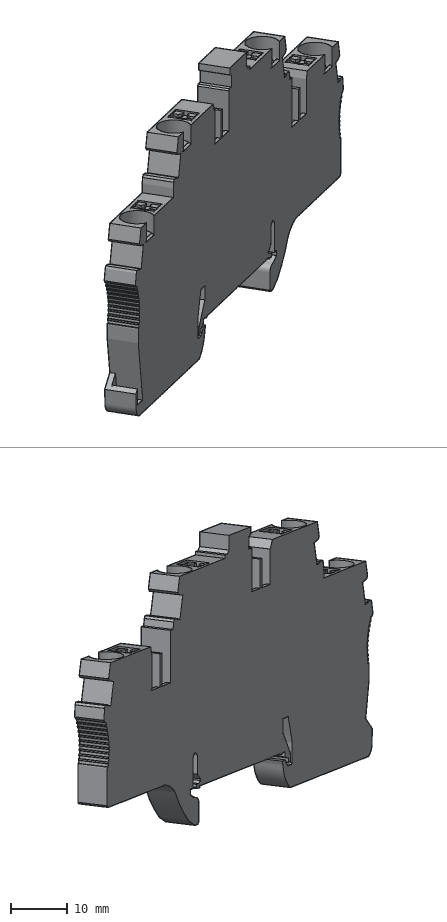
import math

import cadquery as cq

width = 6.0
length = 99.25
height = 50.5
end_y = length / 2
side_x = width / 2

upper_deck_z = 46.6
lower_deck_z = 35.85
base_z = 6.88
tail_z = 9.57
rail_slot_top_z = 13.1

lower_corner_front = -46.95
lower_corner_back = 47.2
upper_corner_front = -29.1
upper_corner_back = 21.7

groove_count = 10
groove_depth = 0.25
groove_share = 0.65
grip_top_z = 25.3
grip_bottom_z = 16.7
grip_sag = 0.85
tip_z = 25.8
tip_land = 0.45
front_wall_y = -48.2
back_wall_y = 48.4

fin_width = 0.72
jumper_pocket_width = 4.3
jumper_pocket_depth = 5.0
upper_slot_front, upper_slot_back, upper_slot_floor = -11.71, -5.06, 38.57
upper_fin_y, upper_fin_top = -8.38, 44.0
upper_fin_chamfer = 0.1
lower_slot_front, lower_slot_back, lower_slot_floor = 25.07, 31.98, 27.81
lower_fin_y, lower_fin_top = 28.65, 33.9

wire_entries = [
    (42.5, lower_deck_z, 1),
    (17.3, upper_deck_z, 1),
    (-24.9, upper_deck_z, -1),
    (-42.5, lower_deck_z, -1),
]
entry_x = 0.45
entry_radius = 3.1
entry_depth = 3.7
funnel_depth = 3.0
funnel_end_x = 0.2
funnel_end_shift = 0.3
funnel_end_radius = 2.35
funnel_side_top_x = 2.25
funnel_side_end_x = 1.27
funnel_flat_end = 1.8

pushers = [
    (36.75, lower_deck_z),
    (11.35, upper_deck_z),
    (-19.2, upper_deck_z),
    (-36.95, lower_deck_z),
]
pusher_pocket_x = 4.5
pusher_pocket_y = 3.75
pusher_gap = 0.37
pusher_sink = 0.3
cross_width = 1.0
cross_depth = 0.6
cross_diamond = 2.2
cross_sink_depth = 0.4
cross_sink_taper = 45

foot_web = 1.1
foot_wall_y = -46.95
foot_wall_top_z = 7.1
foot_shoulder_y = -49.4
foot_shoulder_z = 4.8
foot_lip = 0.75
foot_hollow_floor_z = 2.4
front_wall_bottom_z = 14.1


def deck_end(corner_y, corner_z, end):
    """Lip, latch groove and ledge below a deck corner; end is +1 or -1 along Y."""
    offsets = [
        (0, 0), (0.7, -2.8), (0.3, -3.3), (-1.15, -3.65), (-0.1, -7.85),
        (0.8, -7.75), (0.9, -7.5), (1.95, -7.45), (2.2, -7.9),
    ]
    return [(corner_y + end * out, corner_z + up) for out, up in offsets]


def grip_end(wall_y, end):
    """Outermost tip and serrated concave grip, listed from top to bottom."""
    top_y = end * (end_y - tip_land)
    points = [(end * end_y, tip_z)]

    def on_grip(along, depth):
        dip = grip_sag * math.sin(math.pi * along) + depth
        y = top_y + (wall_y - top_y) * along - end * dip
        return (y, grip_top_z + (grip_bottom_z - grip_top_z) * along)

    for groove in range(groove_count):
        start = groove / groove_count
        finish = (groove + groove_share) / groove_count
        points += [on_grip(start, 0), on_grip(start, groove_depth)]
        points += [on_grip(finish, groove_depth), on_grip(finish, 0)]
    points.append(on_grip(1, 0))
    return points


def slot_with_fin(front, back, floor, fin_y, fin_top, chamfer):
    """Jumper slot floor with its central fin, listed from the +Y wall to the -Y wall."""
    half = fin_width / 2
    fin = [(fin_y + half, floor), (fin_y + half, fin_top - chamfer)]
    if chamfer:
        fin.append((fin_y, fin_top))
    fin += [(fin_y - half, fin_top - chamfer), (fin_y - half, floor)]
    return [(back, floor)] + fin + [(front, floor)]


def top_outline():
    """Stepped upper edge from the -Y tip of the grip round to the +Y grip."""
    front_grip = grip_end(front_wall_y, -1)[::-1]
    front_low = deck_end(lower_corner_front, lower_deck_z, -1)[::-1]
    front_high = deck_end(upper_corner_front, upper_deck_z, -1)[::-1]
    front_step = [(-31.5, lower_deck_z), (-31.5, 37.6)]
    upper_slot = slot_with_fin(upper_slot_front, upper_slot_back, upper_slot_floor,
                               upper_fin_y, upper_fin_top, upper_fin_chamfer)[::-1]
    upper_slot_mouth = [(-12.54, upper_deck_z), (upper_slot_front, 45.0)]
    crown = [
        (upper_slot_back, 46.3), (-4.8, upper_deck_z), (-3.87, upper_deck_z),
        (-3.87, 48.85), (-4.58, 49.2), (-4.58, height),
        (3.45, height), (3.45, 47.8), (4.15, 47.2), (5.05, 47.2), (5.05, upper_deck_z),
    ]
    back_high = deck_end(upper_corner_back, upper_deck_z, 1)
    back_step = [(24.15, 37.4), (lower_slot_front, 37.4)]
    lower_slot = slot_with_fin(lower_slot_front, lower_slot_back, lower_slot_floor,
                               lower_fin_y, lower_fin_top, 0)[::-1]
    lower_slot_mouth = [(lower_slot_back, 34.4), (32.4, lower_deck_z)]
    back_low = deck_end(lower_corner_back, lower_deck_z, 1)
    back_grip = grip_end(back_wall_y, 1)
    return (front_grip + front_low + front_step + front_high + upper_slot_mouth + upper_slot
            + crown + back_high + back_step + lower_slot + lower_slot_mouth + back_low + back_grip)


def make_body():
    """Full-width extrusion of the side outline."""
    front_hook = [
        (-16.1, 5.42), (-17.28, 5.42), (-17.73, 4.68), (-18.26, 4.15), (-19.5, 4.15),
        (-19.78, 4.45), (-19.78, 8.04), (-19.45, 9.4), (-18.33, rail_slot_top_z),
        (-16.5, rail_slot_top_z), (-16.5, 10.4), (-19.15, 6.25), (-19.15, 4.75), (-18.35, 4.75),
        (-18.35, 5.55), (-17.06, 6.0), (-17.06, base_z), (-16.3, base_z),
        (-15.7, 6.6), (-15.3, base_z),
    ]
    back_nose = [
        (14.15, base_z), (14.3, 6.55), (15.2, 6.55), (15.6, 6.9), (15.5, 7.4),
        (14.7, 7.4), (14.0, 7.8), (14.0, 8.1), (15.18, 9.2), (15.18, 12.45),
    ]
    back_foot = [
        (16.7, base_z), (17.67, base_z), (17.67, 5.9), (16.25, 5.15), (15.45, 5.0),
    ]
    side = cq.Workplane("YZ", origin=(-side_x, 0, 0)).moveTo(foot_wall_y, foot_wall_top_z)
    side = side.lineTo(foot_shoulder_y, foot_shoulder_z).lineTo(-49.25, 2.0)
    side = side.threePointArc((-48.85, 0.8), (-47.85, 0)).lineTo(-19.1, 0)
    side = side.threePointArc((-17.3, 1.95), (-16.4, 4.6))
    side = side.polyline(front_hook + back_nose, includeCurrent=True)
    side = side.threePointArc((15.94, 13.2), (16.7, 12.45))
    side = side.polyline(back_foot, includeCurrent=True)
    side = side.threePointArc((14.8, 4.5), (14.57, 3.7))
    side = side.lineTo(14.57, 0.4).lineTo(14.97, 0).lineTo(16.0, 0).lineTo(18.26, 1.25)
    side = side.threePointArc((20.9, 3.9), (23.3, 7.4))
    side = side.threePointArc((25.0, 8.8), (27.2, tail_z))
    side = side.lineTo(back_wall_y - 0.4, tail_z).lineTo(back_wall_y, tail_z + 0.4)
    side = side.polyline(top_outline()[::-1], includeCurrent=True)
    side = side.lineTo(front_wall_y, front_wall_bottom_z)
    return side.close().extrude(width)


def box_between(x0, x1, y0, y1, z0, z1):
    corner = cq.Workplane("XY").box(x1 - x0, y1 - y0, z1 - z0, centered=False)
    return corner.translate((x0, y0, z0))


def jumper_pockets(front, back, floor, fin_y):
    """Two deeper pockets in a slot floor, one on each side of the fin."""
    half_x = jumper_pocket_width / 2
    bottom = floor - jumper_pocket_depth
    near = box_between(-half_x, half_x, front, fin_y - fin_width / 2, bottom, floor)
    far = box_between(-half_x, half_x, fin_y + fin_width / 2, back, bottom, floor)
    return near.add(far).combine()


def wire_entry(y, deck_z, end):
    """Round entry breaking through the +X side, with a flattened funnel below it."""
    shelf_z = deck_z - entry_depth
    floor_z = shelf_z - funnel_depth
    bore = cq.Workplane("XY", origin=(entry_x, y, shelf_z)).circle(entry_radius).extrude(entry_depth)
    funnel = (
        cq.Workplane("XY", origin=(0, y, floor_z))
        .center(funnel_end_x, end * funnel_end_shift).circle(funnel_end_radius)
        .workplane(offset=funnel_depth)
        .center(entry_x - funnel_end_x, -end * funnel_end_shift).circle(entry_radius)
        .loft(ruled=True)
    )
    side_limit = (
        cq.Workplane("XZ", origin=(0, y + entry_radius, 0))
        .polyline([(-side_x, floor_z), (funnel_side_end_x, floor_z),
                   (funnel_side_top_x, shelf_z), (-side_x, shelf_z)])
        .close().extrude(2 * entry_radius)
    )
    end_limit = (
        cq.Workplane("YZ", origin=(-side_x, 0, 0))
        .polyline([(y - end * entry_radius, floor_z), (y + end * funnel_flat_end, floor_z),
                   (y + end * entry_radius, shelf_z), (y - end * entry_radius, shelf_z)])
        .close().extrude(width)
    )
    return bore.union(funnel.intersect(side_limit).intersect(end_limit))


def pusher_recess(y, deck_z):
    """Rectangular recess around a pusher, with a driver cross in the pusher top."""
    pusher_x = pusher_pocket_x - pusher_gap
    pusher_centre_x = -pusher_gap / 2
    pusher_top = deck_z - pusher_sink
    cross_floor = pusher_top - cross_depth
    half_x = pusher_pocket_x / 2
    half_y = pusher_pocket_y / 2
    recess = box_between(-half_x, half_x, y - half_y, y + half_y, pusher_top, deck_z)
    gap = box_between(half_x - pusher_gap, half_x, y - half_y, y + half_y, cross_floor, pusher_top)
    top = cq.Workplane("XY", origin=(pusher_centre_x, y, cross_floor))
    cross = top.rect(pusher_x, cross_width).extrude(cross_depth)
    cross = cross.union(top.rect(cross_width, pusher_pocket_y).extrude(cross_depth))
    diamond = top.transformed(rotate=(0, 0, 45)).rect(cross_diamond, cross_diamond).extrude(cross_depth)
    sink = top.rect(cross_width, cross_width).extrude(-cross_sink_depth, taper=cross_sink_taper)
    return recess.union(gap).union(cross).union(diamond).union(sink)


def foot_hollow():
    """Channel between the end wall and the foot lip, open to +X, closed by the -X web."""
    wall_slope = (foot_wall_y - front_wall_y) / (front_wall_bottom_z - foot_wall_top_z)
    wall_floor_y = foot_wall_y + wall_slope * (foot_wall_top_z - foot_hollow_floor_z)
    lip_y = foot_shoulder_y + foot_lip
    return (
        cq.Workplane("YZ", origin=(-side_x + foot_web, 0, 0))
        .polyline([(foot_wall_y, foot_wall_top_z), (wall_floor_y, foot_hollow_floor_z),
                   (lip_y, foot_hollow_floor_z), (lip_y, foot_wall_top_z)])
        .close().extrude(width - foot_web)
    )


result = make_body()
result = result.cut(jumper_pockets(upper_slot_front, upper_slot_back, upper_slot_floor, upper_fin_y))
result = result.cut(jumper_pockets(lower_slot_front, lower_slot_back, lower_slot_floor, lower_fin_y))
for entry_y, entry_deck, entry_end in wire_entries:
    result = result.cut(wire_entry(entry_y, entry_deck, entry_end))
for pusher_y, pusher_deck in pushers:
    result = result.cut(pusher_recess(pusher_y, pusher_deck))
result = result.cut(foot_hollow())